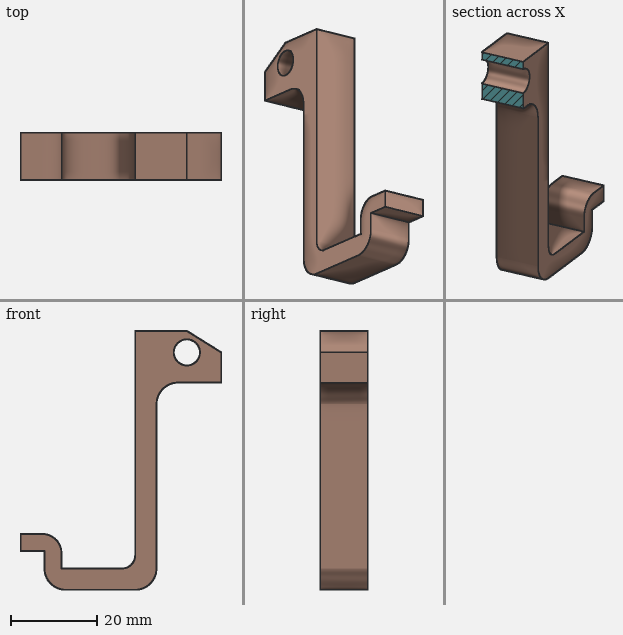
import cadquery as cq

length = 46.5
width = 11.0
height = 60.0

wall = 5.0
arm_left = 26.5
arm_right = arm_left + wall
outer_bend_radius = 5.0
inner_bend_radius = 3.0

lip_top = 13.0
lip_thickness = 4.0
lip_bottom = lip_top - lip_thickness
riser_left = 5.5
riser_right = riser_left + lip_thickness
lip_radius = 4.5

head_height = 12.0
head_bottom = height - head_height
head_fillet_radius = 5.0
chamfer_length = 8.0
chamfer_drop = 5.0
hole_diameter = 6.0
hole_x = length - chamfer_length
hole_z = height - chamfer_drop


def round_edge(body, x, z, radius):
    """Fillet the edge that runs along Y through the profile corner (x, z)."""
    corner = cq.selectors.NearestToPointSelector((x, width / 2, z))
    return body.edges("|Y").edges(corner).fillet(radius)


def make_sharp_hook():
    """Extrude the hook profile along Y, with all its bends left sharp."""
    profile = [
        (0, lip_bottom),
        (riser_left, lip_bottom),
        (riser_left, 0),
        (arm_right, 0),
        (arm_right, head_bottom),
        (length, head_bottom),
        (length, height - chamfer_drop),
        (length - chamfer_length, height),
        (arm_left, height),
        (arm_left, wall),
        (riser_right, wall),
        (riser_right, lip_top),
        (0, lip_top),
    ]
    return cq.Workplane("XZ").polyline(profile).close().extrude(-width)


def round_bends(body):
    """Round the bends of the foot, the lip and the head."""
    bends = [
        (riser_left, 0, outer_bend_radius),
        (arm_right, 0, outer_bend_radius),
        (arm_left, wall, inner_bend_radius),
        (riser_right, lip_top, lip_radius),
        (arm_right, head_bottom, head_fillet_radius),
    ]
    for x, z, radius in bends:
        body = round_edge(body, x, z, radius)
    return body


def make_head_hole():
    """Cylinder that cuts the through hole in the head."""
    return (
        cq.Workplane("XZ")
        .center(hole_x, hole_z)
        .circle(hole_diameter / 2)
        .extrude(-width)
    )


result = round_bends(make_sharp_hook()).cut(make_head_hole())